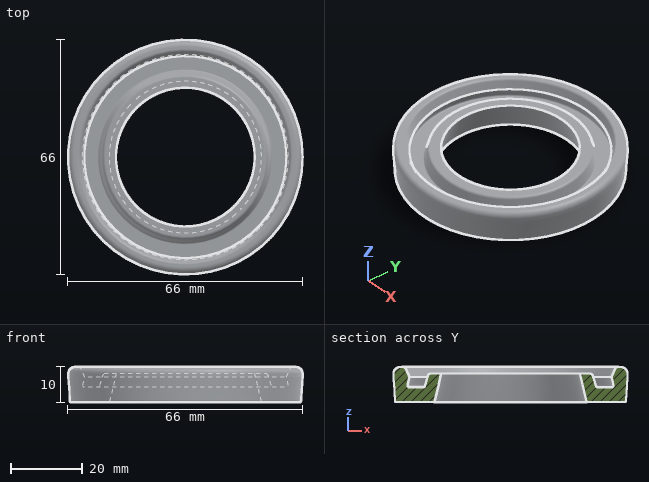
import cadquery as cq
import math

outer_radius = 33.0
bore_top_radius = 19.5
bore_bottom_radius = 21.4
height = 10.0

band_bottom = 7.05
skirt_foot_radius = 32.55
foot_fillet = 0.5
rim_outer_fillet = 2.0

rim_inner_radius = 29.65
rim_inner_fillet = 1.05
lip_radius = 28.4
lip_height = 7.2

floor_height = 4.3
floor_outer_radius = 29.05
floor_outer_fillet = 0.5

collar_height = 8.2
collar_foot_radius = 24.2
collar_top_radius = 23.1
collar_top_fillet = 1.0
collar_foot_fillet = 0.5


def rounding_arc(before, corner, after, fillet):
    """Return the start, middle and end of the arc that rounds a profile corner."""
    point = cq.Vector(*corner)
    to_before = (cq.Vector(*before) - point).normalized()
    to_after = (cq.Vector(*after) - point).normalized()
    half_angle = to_before.getAngle(to_after) / 2
    tangent_length = fillet / math.tan(half_angle)
    bisector = (to_before + to_after).normalized()
    middle_distance = fillet / math.sin(half_angle) - fillet
    return (
        point + to_before * tangent_length,
        point + bisector * middle_distance,
        point + to_after * tangent_length,
    )


def rounded_profile(corners):
    """Draw a closed (radius, height) outline from (radius, height, fillet) corners."""
    points = [(radius, level) for radius, level, _ in corners]
    profile = cq.Workplane("XZ").moveTo(*points[0])
    for index in range(1, len(corners)):
        fillet = corners[index][2]
        if fillet == 0:
            profile = profile.lineTo(*points[index])
            continue
        following = points[(index + 1) % len(points)]
        start, middle, end = rounding_arc(points[index - 1], points[index], following, fillet)
        profile = profile.lineTo(start.x, start.y)
        profile = profile.threePointArc((middle.x, middle.y), (end.x, end.y))
    return profile.close()


section = [
    (bore_bottom_radius, 0, 0),
    (skirt_foot_radius, 0, foot_fillet),
    (outer_radius, band_bottom, 0),
    (outer_radius, height, rim_outer_fillet),
    (rim_inner_radius, height, rim_inner_fillet),
    (lip_radius, lip_height, 0),
    (floor_outer_radius, floor_height, floor_outer_fillet),
    (collar_foot_radius, floor_height, collar_foot_fillet),
    (collar_top_radius, collar_height, collar_top_fillet),
    (bore_top_radius, collar_height, 0),
]

result = rounded_profile(section).revolve(360, (0, 0, 0), (0, 1, 0))